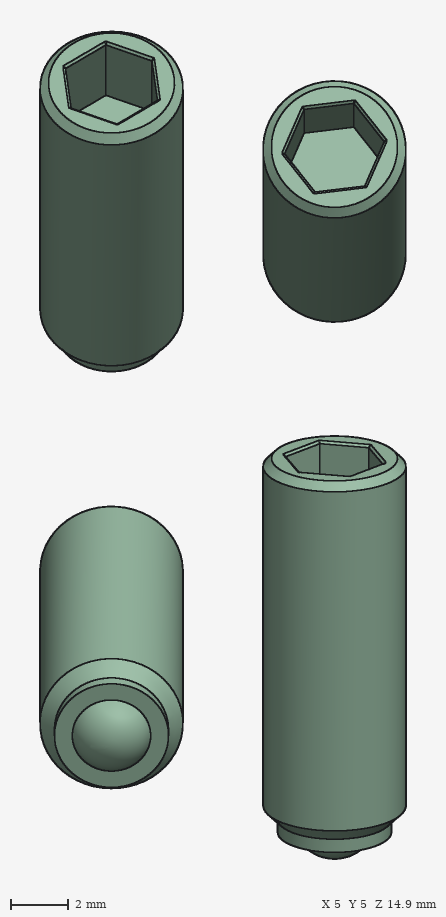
import cadquery as cq
import math

total_length = 14.9
body_diameter = 5.0
neck_diameter = 4.0

ball_radius = 1.49
ball_protrusion = 0.91

neck_length = 0.49
top_chamfer = 0.3
bottom_chamfer = (body_diameter - neck_diameter) / 2

socket_flats = 3.04
socket_mouth_flats = 3.22
socket_depth = 2.98
mouth_chamfer = (socket_mouth_flats - socket_flats) / 2


def hexagon_prism(flats, base_z, height, taper=0):
    """Hexagonal prism with two corners on the X axis; negative taper widens it upwards."""
    corner_diameter = flats / math.cos(math.radians(30))
    base = cq.Workplane("XY").workplane(offset=base_z).polygon(6, corner_diameter)
    return base.extrude(height, taper=taper)


def make_body():
    neck_bottom = ball_protrusion
    neck_top = neck_bottom + neck_length
    neck = cq.Workplane("XY").workplane(offset=neck_bottom).circle(neck_diameter / 2).extrude(neck_length)
    barrel = (
        cq.Workplane("XY")
        .workplane(offset=neck_top)
        .circle(body_diameter / 2)
        .extrude(total_length - neck_top)
        .faces(">Z")
        .chamfer(top_chamfer)
        .faces("<Z")
        .chamfer(bottom_chamfer)
    )
    return barrel.union(neck)


def make_ball():
    return cq.Workplane("XY").sphere(ball_radius).translate((0, 0, ball_radius))


def make_socket():
    socket = hexagon_prism(socket_flats, total_length - socket_depth, socket_depth)
    mouth = hexagon_prism(socket_flats, total_length - mouth_chamfer, mouth_chamfer, taper=-45)
    return socket.union(mouth)


result = make_body().union(make_ball()).cut(make_socket())